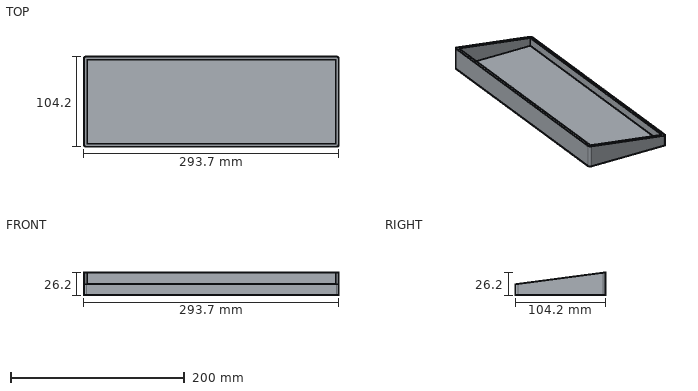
import cadquery as cq
import math

length = 293.73
depth = 104.23
back_height = 26.21
slope_angle = 7.5
front_height = back_height - depth * math.tan(math.radians(slope_angle))

wall = 3.75
floor_thickness = 3.0
corner_radius = 3.0


def make_wedge():
    """Solid wedge, high at the back (+Y), with rounded upright corners."""
    side_profile = [
        (-depth / 2, 0),
        (depth / 2, 0),
        (depth / 2, back_height),
        (-depth / 2, front_height),
    ]
    wedge = (
        cq.Workplane("YZ")
        .polyline(side_profile)
        .close()
        .extrude(length / 2, both=True)
    )
    return wedge.edges("|Z").fillet(corner_radius)


def make_cavity():
    """Square-cornered pocket volume, open at the top, above a flat floor."""
    return (
        cq.Workplane("XY")
        .workplane(offset=floor_thickness)
        .rect(length - 2 * wall, depth - 2 * wall)
        .extrude(back_height)
    )


result = make_wedge().cut(make_cavity())